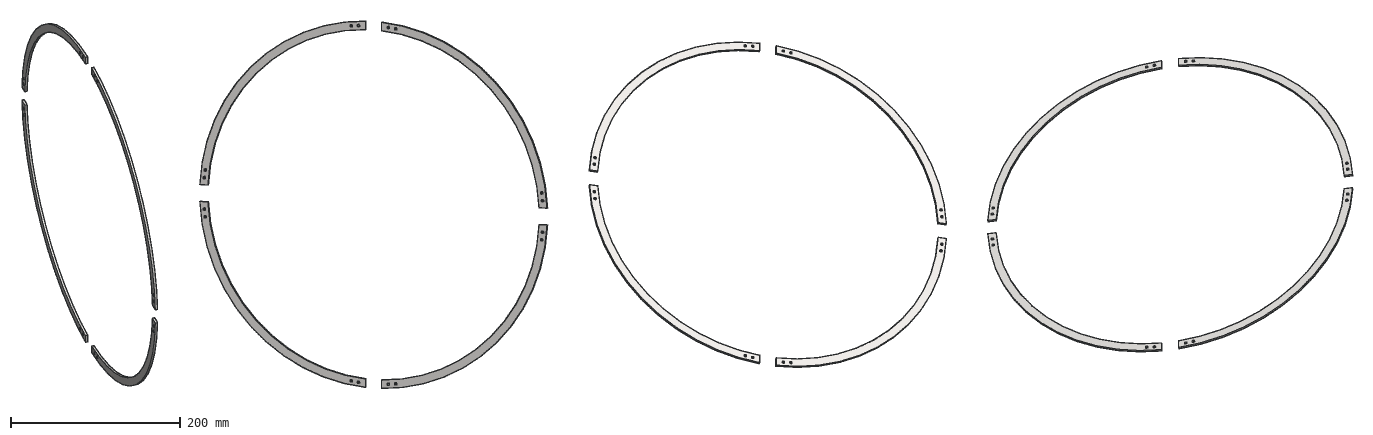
import cadquery as cq
import math

SPAN = 439.5
HALF_GAP = 10.0
BAR_WIDTH = 10.0
THICKNESS = 3.0
END_HOLE_OFFSET = 19.0
HOLE_DIAMETER = 3.0
INNER_HOLE_OFFSET = 28.0
SEGMENT_COUNT = 4

OUTER_RADIUS = math.hypot(SPAN / 2, HALF_GAP)
INNER_RADIUS = OUTER_RADIUS - BAR_WIDTH
HOLE_CIRCLE_RADIUS = OUTER_RADIUS - BAR_WIDTH / 2


def point_on_circle(radius, offset):
    """Point at the given distance to the right of the vertical centre plane."""
    return offset, math.sqrt(radius**2 - offset**2)


def mirrored(point):
    """Mirror a point about the diagonal of the quadrant."""
    return point[1], point[0]


def middle_of_arc(radius):
    return radius * math.cos(math.pi / 4), radius * math.sin(math.pi / 4)


def hole_cutter(offset):
    """A pair of through-hole cylinders, one at each end of a segment."""
    centre = point_on_circle(HOLE_CIRCLE_RADIUS, offset)
    return (
        cq.Workplane("XZ")
        .pushPoints([centre, mirrored(centre)])
        .circle(HOLE_DIAMETER / 2)
        .extrude(THICKNESS / 2, both=True)
    )


def ring_segment():
    """Quarter segment in the +X, +Z quadrant with two holes at each end."""
    outer_start = point_on_circle(OUTER_RADIUS, HALF_GAP)
    inner_start = point_on_circle(INNER_RADIUS, HALF_GAP)
    bar = (
        cq.Workplane("XZ")
        .moveTo(*outer_start)
        .threePointArc(middle_of_arc(OUTER_RADIUS), mirrored(outer_start))
        .lineTo(*mirrored(inner_start))
        .threePointArc(middle_of_arc(INNER_RADIUS), inner_start)
        .close()
        .extrude(THICKNESS / 2, both=True)
    )
    end_holes = hole_cutter(END_HOLE_OFFSET)
    inner_holes = hole_cutter(INNER_HOLE_OFFSET)
    return bar.cut(end_holes).cut(inner_holes)


segments = []
for index in range(SEGMENT_COUNT):
    angle = index * 360 / SEGMENT_COUNT
    segment = ring_segment().rotate((0, 0, 0), (0, 1, 0), angle)
    segments.append(segment.val())

result = cq.Compound.makeCompound(segments)